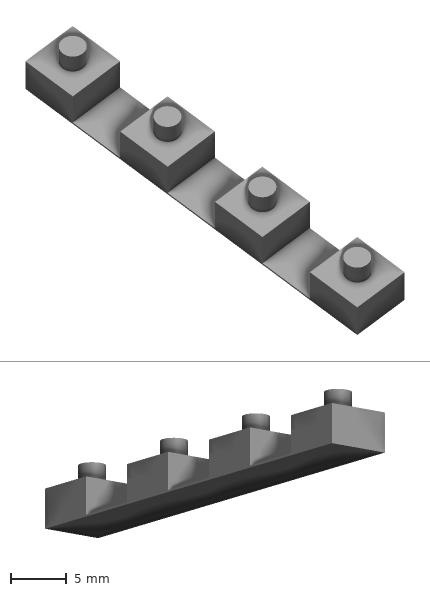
import cadquery as cq

block_count = 4
block_side = 6.0
block_gap = 6.0
block_height = 3.7
pin_diameter = 2.5
pin_height = 2.0
strip_thickness = 0.2

block_pitch = block_side + block_gap
row_length = (block_count - 1) * block_pitch + block_side


def make_strip():
    """Thin strip under the whole row, resting on Z = 0."""
    return cq.Workplane("XY").box(
        row_length, block_side, strip_thickness, centered=(True, True, False)
    )


def make_pinned_block(center_x):
    """Square block with a round pin at the middle of its top face."""
    block = (
        cq.Workplane("XY")
        .center(center_x, 0)
        .rect(block_side, block_side)
        .extrude(block_height)
    )
    return block.faces(">Z").workplane().circle(pin_diameter / 2).extrude(pin_height)


first_center_x = (block_side - row_length) / 2

result = make_strip()
for index in range(block_count):
    result = result.union(make_pinned_block(first_center_x + index * block_pitch))